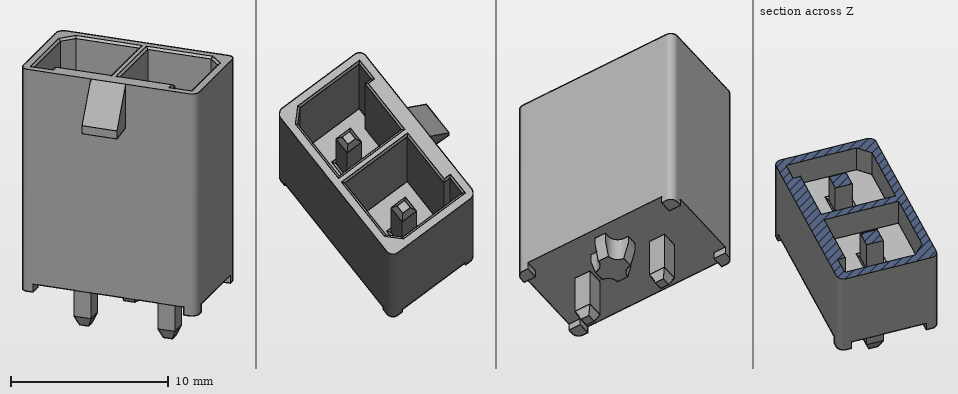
import cadquery as cq
import math

HOUSING_WIDTH = 12.05
HOUSING_DEPTH = 6.8
TOTAL_DEPTH = 8.35
TOP_Z = 18.5
SEAT_Z = 3.72
CORNER_RADIUS = 0.5

FOOT_SIZE = 0.87
FOOT_HEIGHT = 0.55

WALL = 0.5
DIVIDER = 0.3
FLOOR_Z = 7.4
RIM_CHAMFER = 0.15
CORNER_CUT = 0.75
KEY_WIDTH = 1.25
KEY_DEPTH = 0.5

PIN_PITCH = 5.74
PIN_WIDTH = 1.17
PIN_TIP_WIDTH = 0.61
PIN_TIP_LENGTH = 0.67
PIN_TOP_Z = 13.88
SOCKET_WIDTH = 1.55

PEG_Y = 1.33
PEG_REACH = 1.45
PEG_ARM_WIDTH = 0.78
PEG_HOLLOW_RADIUS = 0.74
PEG_LENGTH = 1.83
PEG_TAPER_LENGTH = 1.2
PEG_TIP_REACH = 1.1

LATCH_WIDTH = 2.39
LATCH_NOSE_TOP_Z = 15.87
LATCH_NOSE_BOTTOM_Z = 15.32
LATCH_ROOT_Z = 15.5

FRONT_Y = -HOUSING_DEPTH / 2


def slab(width, depth, bottom_z, top_z):
    """Box centred on the Z axis between two heights."""
    return cq.Workplane("XY").workplane(offset=bottom_z).rect(width, depth).extrude(top_z - bottom_z)


def frustum(bottom_width, top_width, bottom_z, height):
    """Square frustum centred on the Z axis."""
    return (
        cq.Workplane("XY").workplane(offset=bottom_z).rect(bottom_width, bottom_width)
        .workplane(offset=height).rect(top_width, top_width)
        .loft(ruled=True)
    )


def housing():
    """Rounded block standing on four corner feet."""
    block = slab(HOUSING_WIDTH, HOUSING_DEPTH, SEAT_Z - FOOT_HEIGHT, TOP_Z).edges("|Z").fillet(CORNER_RADIUS)
    gap_x = slab(HOUSING_WIDTH - 2 * FOOT_SIZE, HOUSING_DEPTH, SEAT_Z - FOOT_HEIGHT, SEAT_Z)
    gap_y = slab(HOUSING_WIDTH, HOUSING_DEPTH - 2 * FOOT_SIZE, SEAT_Z - FOOT_HEIGHT, SEAT_Z)
    return block.cut(gap_x).cut(gap_y)


def right_cavity():
    """Cavity on the +X side, with a cut back corner, a front key slot, inside its chamfered rim."""
    inner_x = DIVIDER / 2 + RIM_CHAMFER
    outer_x = HOUSING_WIDTH / 2 - WALL - RIM_CHAMFER
    back_y = HOUSING_DEPTH / 2 - WALL - RIM_CHAMFER
    key_x = outer_x - KEY_WIDTH
    step_y = KEY_DEPTH - back_y
    outline = (
        cq.Workplane("XY").workplane(offset=FLOOR_Z)
        .moveTo(inner_x, back_y)
        .lineTo(outer_x - CORNER_CUT, back_y)
        .lineTo(outer_x, back_y - CORNER_CUT)
        .lineTo(outer_x, -back_y)
        .lineTo(key_x, -back_y)
        .lineTo(key_x, step_y)
        .lineTo(inner_x, step_y)
        .close()
    )
    return outline.extrude(TOP_Z - FLOOR_Z)


def pin():
    """Square pin with both ends tapered."""
    shank = slab(PIN_WIDTH, PIN_WIDTH, PIN_TIP_LENGTH, PIN_TOP_Z - PIN_TIP_LENGTH)
    lower_tip = frustum(PIN_TIP_WIDTH, PIN_WIDTH, 0, PIN_TIP_LENGTH)
    upper_tip = frustum(PIN_WIDTH, PIN_TIP_WIDTH, PIN_TOP_Z - PIN_TIP_LENGTH, PIN_TIP_LENGTH)
    return shank.union(lower_tip).union(upper_tip)


def pin_countersink():
    """Sloped square recess where the pin leaves the cavity floor."""
    depth = (SOCKET_WIDTH - PIN_WIDTH) / 2
    return frustum(PIN_WIDTH, SOCKET_WIDTH, FLOOR_Z - depth, depth)


def peg():
    """Cross-shaped peg with concave inner corners and arms that taper towards the tip."""
    half_arm = PEG_ARM_WIDTH / 2
    bottom_z = SEAT_Z - PEG_LENGTH
    arc_end = half_arm + PEG_HOLLOW_RADIUS
    arc_middle = arc_end - PEG_HOLLOW_RADIUS * math.sqrt(0.5)
    quadrant = (
        cq.Workplane("XY").workplane(offset=bottom_z)
        .lineTo(PEG_REACH, 0)
        .lineTo(PEG_REACH, half_arm)
        .lineTo(arc_end, half_arm)
        .threePointArc((arc_middle, arc_middle), (half_arm, arc_end))
        .lineTo(half_arm, PEG_REACH)
        .lineTo(0, PEG_REACH)
        .close()
        .extrude(PEG_LENGTH)
    )
    half = quadrant.union(quadrant.mirror("YZ"))
    cross = half.union(half.mirror("XZ"))
    straight = slab(2 * PEG_REACH, 2 * PEG_REACH, bottom_z + PEG_TAPER_LENGTH, SEAT_Z)
    taper = frustum(2 * PEG_TIP_REACH, 2 * PEG_REACH, bottom_z, PEG_TAPER_LENGTH)
    return cross.intersect(straight.union(taper))


def latch():
    """Ramp on the front wall with a blunt nose and an undercut lower face."""
    nose_y = FRONT_Y - (TOTAL_DEPTH - HOUSING_DEPTH)
    return (
        cq.Workplane("YZ")
        .moveTo(FRONT_Y, TOP_Z)
        .lineTo(nose_y, LATCH_NOSE_TOP_Z)
        .lineTo(nose_y, LATCH_NOSE_BOTTOM_Z)
        .lineTo(FRONT_Y, LATCH_ROOT_Z)
        .close()
        .extrude(LATCH_WIDTH / 2, both=True)
    )


def chamfer_rims(body):
    """Chamfer the cavity edges on the top face, leaving the outer edges sharp."""
    inner_half_width = HOUSING_WIDTH / 2 - WALL
    inner_half_depth = HOUSING_DEPTH / 2 - WALL
    rim_zone = cq.selectors.BoxSelector(
        (-inner_half_width, -inner_half_depth, TOP_Z - RIM_CHAMFER),
        (inner_half_width, inner_half_depth, TOP_Z + RIM_CHAMFER),
    )
    return body.faces(">Z").edges(rim_zone).chamfer(RIM_CHAMFER)


cavity = right_cavity()
result = chamfer_rims(housing().cut(cavity).cut(cavity.mirror("YZ")))
for pin_x in (-PIN_PITCH / 2, PIN_PITCH / 2):
    result = result.cut(pin_countersink().translate((pin_x, 0, 0)))
    result = result.union(pin().translate((pin_x, 0, 0)))
result = result.union(peg().translate((0, PEG_Y, 0)))
result = result.union(latch())